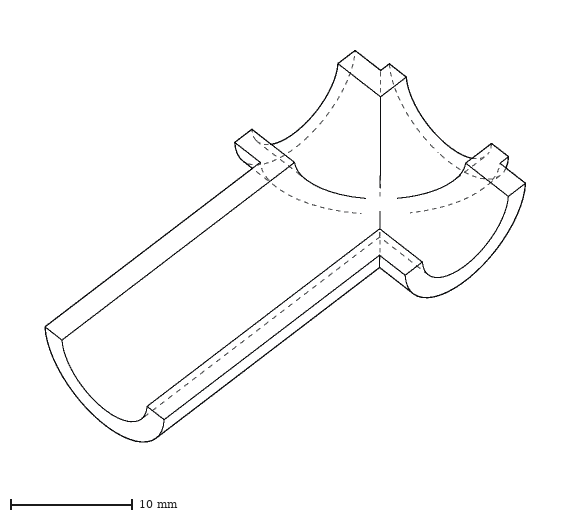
import cadquery as cq

outer_radius = 7.0
bore_radius = 5.0
main_length = 40.0
cross_length = 20.0
short_arm = 8.0
cut_below_axis = 0.3


def main_cylinder(radius):
    """Cylinder along Y, with the crossing point at the origin."""
    start = cq.Workplane("XZ", origin=(0, short_arm, 0))
    return start.circle(radius).extrude(main_length)


def cross_cylinder(radius):
    """Cylinder along X, centred on the crossing point."""
    start = cq.Workplane("YZ", origin=(-cross_length / 2, 0, 0))
    return start.circle(radius).extrude(cross_length)


def crossed_cylinders(radius):
    return main_cylinder(radius).union(cross_cylinder(radius))


pipe_cross = crossed_cylinders(outer_radius).cut(crossed_cylinders(bore_radius))

lower_space = (
    cq.Workplane("XY", origin=(0, short_arm - main_length / 2, -cut_below_axis))
    .rect(cross_length, main_length)
    .extrude(-outer_radius)
)
result = pipe_cross.intersect(lower_space)